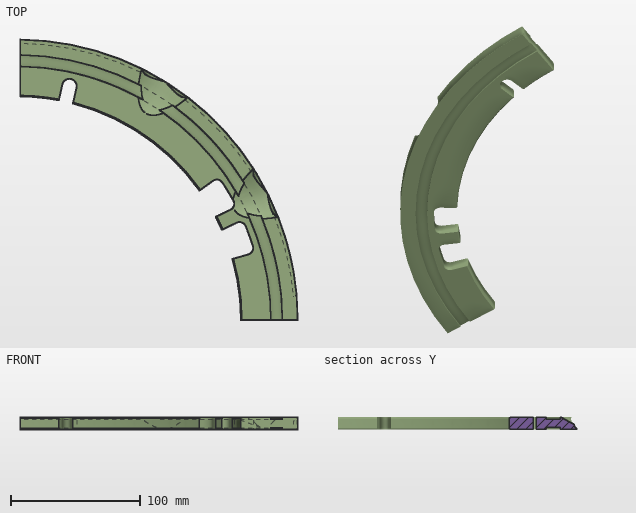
import cadquery as cq
import math

thickness = 9.5
outer_radius = 216.9
inner_radius = 172.8
start_offset = 2.4
inner_chamfer = 0.9

recess_inner_radius = 196.0
recess_outer_radius = 205.0
recess_depth = 1.5

groove_depth = 2.8
groove_lip = 0.2
groove_start_angle = 5.0
groove_sweep = 90.0

notch_floor_radius = 190.8
notch_start_angle = 15.9
notch_end_angle = 35.4
notch_fillet = 5.0
tab_width = 11.3
tab_angle = (notch_start_angle + notch_end_angle) / 2

slot_width = 11.0
slot_angle = 77.4

scallop_angles = (27.1, 58.1)
scallop_cutter_radius = 30.4
scallop_tip_radius = 188.2
scallop_slope = 17.8
scallop_cutter_reach = 86.7

half_thickness = thickness / 2
margin = 10.8


def polar(radius, angle):
    """Point at the given radius and angle in degrees."""
    return (radius * math.cos(math.radians(angle)), radius * math.sin(math.radians(angle)))


def make_ring():
    """Ring with chamfered inner edges and the two face recesses, as one revolved profile."""
    floor = half_thickness - recess_depth
    upper_half = [
        (inner_radius, half_thickness - inner_chamfer),
        (inner_radius + inner_chamfer, half_thickness),
        (recess_inner_radius, half_thickness),
        (recess_inner_radius, floor),
        (recess_outer_radius, floor),
        (recess_outer_radius, half_thickness),
        (outer_radius, half_thickness),
    ]
    lower_half = [(radius, -height) for radius, height in reversed(upper_half)]
    profile = cq.Workplane("XZ").polyline(upper_half + lower_half).close()
    return profile.revolve(360, (0, 0, 0), (0, 1, 0))


def make_segment_block():
    """Block that keeps the part of the ring between the two end faces."""
    side = outer_radius + margin
    block = cq.Workplane("XY").box(side, side, thickness + margin, centered=(False, False, True))
    return block.translate((start_offset, 0, 0))


def make_rim_groove():
    """Arc-shaped groove swept round the rim from its start angle past the upper end."""
    half_height = half_thickness - groove_lip
    profile = (
        cq.Workplane("XZ")
        .moveTo(outer_radius, -half_height)
        .threePointArc((outer_radius - groove_depth, 0), (outer_radius, half_height))
        .lineTo(outer_radius + margin, half_height)
        .lineTo(outer_radius + margin, -half_height)
        .close()
    )
    groove = profile.revolve(groove_sweep, (0, 0, 0), (0, 1, 0))
    return groove.rotate((0, 0, 0), (0, 0, 1), groove_start_angle)


def make_tab_notches():
    """The two notches either side of the tab, with rounded floor corners."""
    inner_start = inner_radius - margin
    window = (
        cq.Workplane("XY")
        .moveTo(*polar(inner_start, notch_start_angle))
        .lineTo(*polar(notch_floor_radius, notch_start_angle))
        .threePointArc(polar(notch_floor_radius, tab_angle), polar(notch_floor_radius, notch_end_angle))
        .lineTo(*polar(inner_start, notch_end_angle))
        .close()
        .extrude(half_thickness + margin, both=True)
    )
    tab = (
        cq.Workplane("XY")
        .box(outer_radius, tab_width, thickness + 2 * margin, centered=(False, True, True))
        .rotate((0, 0, 0), (0, 0, 1), tab_angle)
    )
    floor_faces = cq.selectors.TypeSelector("CYLINDER")
    return window.cut(tab).faces(floor_faces).edges("|Z").fillet(notch_fillet)


def make_slot():
    """Radial slot with a fully rounded end."""
    end_centre = notch_floor_radius - slot_width / 2
    start = inner_radius - margin
    slot = (
        cq.Workplane("XY")
        .moveTo(start, -slot_width / 2)
        .lineTo(end_centre, -slot_width / 2)
        .threePointArc((notch_floor_radius, 0), (end_centre, slot_width / 2))
        .lineTo(start, slot_width / 2)
        .close()
        .extrude(half_thickness + margin, both=True)
    )
    return slot.rotate((0, 0, 0), (0, 0, 1), slot_angle)


def make_scallop(angle):
    """Tilted cylinder whose lowest line enters the top face at the tip and slopes out to the rim."""
    cutter = (
        cq.Workplane("YZ")
        .circle(scallop_cutter_radius)
        .extrude(scallop_cutter_reach, both=True)
        .translate((0, 0, scallop_cutter_radius))
        .rotate((0, 0, 0), (0, 1, 0), scallop_slope)
        .translate((scallop_tip_radius, 0, half_thickness))
    )
    return cutter.rotate((0, 0, 0), (0, 0, 1), angle)


result = make_ring().intersect(make_segment_block())
for scallop_angle in scallop_angles:
    result = result.cut(make_scallop(scallop_angle))
result = result.cut(make_rim_groove()).cut(make_tab_notches()).cut(make_slot())